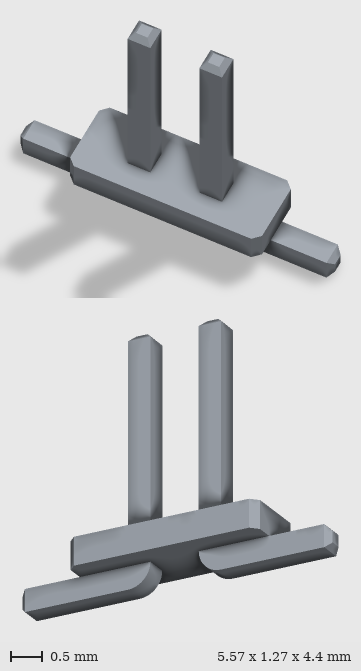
import cadquery as cq

overall_length = 5.57
overall_height = 4.4
pin_pitch = 1.27
pin_width = 0.4
tip_chamfer = 0.1
body_length = 3.4
body_width = 1.27
body_height = 0.5
body_corner_chamfer = 0.13

pin_center = pin_pitch / 2
pin_inner = pin_center - pin_width / 2
bend_radius = pin_width
lead_end = overall_length / 2


def make_body():
    """Flat insulator with chamfered vertical corners, resting on the leads."""
    return (
        cq.Workplane("XY", origin=(0, 0, pin_width))
        .rect(body_length, body_width)
        .extrude(body_height)
        .edges("|Z")
        .chamfer(body_corner_chamfer)
    )


def make_post():
    """Upright square post of the +X pin, with a tapered tip."""
    return (
        cq.Workplane("XY", origin=(pin_center, 0, pin_width))
        .rect(pin_width, pin_width)
        .extrude(overall_height - pin_width)
        .faces(">Z")
        .chamfer(tip_chamfer)
    )


def make_lead():
    """Horizontal lead of the +X pin, rounded at the bend and tapered at its end."""
    lead = (
        cq.Workplane("XY")
        .box(lead_end - pin_inner, pin_width, pin_width, centered=(False, True, False))
        .translate((pin_inner, 0, 0))
        .faces(">X")
        .chamfer(tip_chamfer)
    )
    bend_waste = (
        cq.Workplane("XZ", origin=(pin_inner, 0, 0))
        .moveTo(0, 0)
        .lineTo(bend_radius, 0)
        .radiusArc((0, bend_radius), bend_radius)
        .close()
        .extrude(pin_width, both=True)
    )
    return lead.cut(bend_waste)


pin = make_post().union(make_lead())
opposite_pin = pin.mirror("YZ")
result = make_body().union(pin).union(opposite_pin)